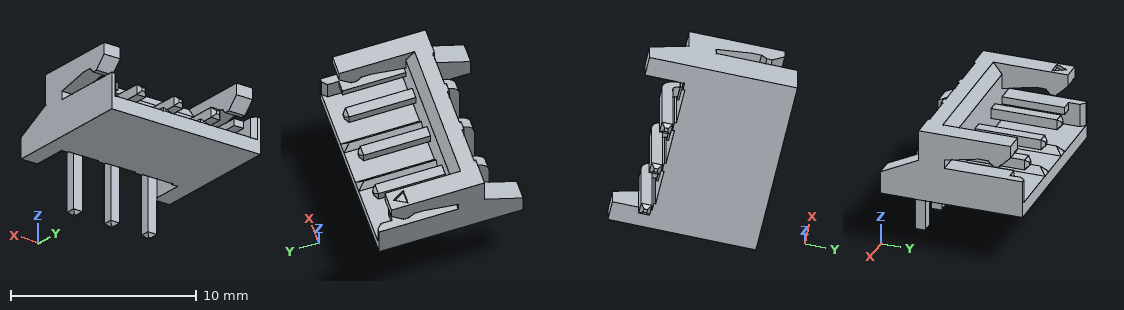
import cadquery as cq
import math

width = 10.0
depth = 8.2
height = 4.2
pin_count = 3
pitch = 2.5

mating_y = depth / 2
leg_y = -depth / 2
rear_y = mating_y - 6.0
inner_y = mating_y - 4.5
half_width = width / 2

arm_width = 1.1
arm_inner_x = half_width - arm_width
leg_top = 2.4
leg_end = 1.3
rim_top = 2.18
slot_end_top = 2.68
arm_y = mating_y - 0.7
hook_bottom = 2.8
hook_lead = 0.7
hook_flat = 0.3
hook_depth = 0.3
arm_flat_y = mating_y - 2.54

floor_top = 0.83
wall_thickness = 0.47
wall_lead = 0.26
rail_start_y = mating_y - 0.9
rail_bottom = 1.75
rear_lead = 0.5
rear_lead_bottom = 3.55

ridge_width = 0.58
ridge_height = 0.41
ridge_hip = 0.39

recess_width = 2.0
recess_depth = 0.1
pad_size = 0.8

pin_size = 0.6
pin_z = 2.0
pin_tip_y = mating_y - 0.5
tail_end = -3.2
tip_length = 0.2
bend_radius = 0.7

mark_side = 0.8
mark_depth = 0.2
mark_tip_y = mating_y - 1.0


def block(x_min, x_max, y_min, y_max, z_min, z_max):
    """Box given by its limits."""
    size = (x_max - x_min, y_max - y_min, z_max - z_min)
    return cq.Workplane("XY").box(*size, centered=False).translate((x_min, y_min, z_min))


def side_profile():
    """Side wall, latch arm and leg, extruded over the full width."""
    hook_front_y = arm_y - hook_lead
    hook_back_y = hook_front_y - hook_flat
    catch_y = hook_back_y - hook_depth
    catch_z = hook_bottom + hook_depth
    outline = [
        (leg_y, 0),
        (mating_y, 0),
        (mating_y, rim_top),
        (inner_y, rim_top),
        (inner_y, slot_end_top),
        (arm_flat_y, catch_z),
        (catch_y, catch_z),
        (hook_back_y, hook_bottom),
        (hook_front_y, hook_bottom),
        (arm_y, hook_bottom + hook_lead),
        (arm_y, height),
        (rear_y, height),
        (rear_y, leg_top),
        (leg_y, leg_end),
    ]
    return cq.Workplane("YZ").polyline(outline).close().extrude(half_width, both=True)


def cavity():
    """Space between the side walls, with the rails left standing below the arms."""
    wall_x = half_width - wall_thickness
    lead_y = mating_y - wall_lead
    outline = [
        (-wall_x, inner_y),
        (wall_x, inner_y),
        (wall_x, lead_y),
        (wall_x + wall_lead, mating_y),
        (-wall_x - wall_lead, mating_y),
        (-wall_x, lead_y),
    ]
    space = cq.Workplane("XY").workplane(offset=floor_top).polyline(outline).close()
    space = space.extrude(rim_top - floor_top)
    for rail_min, rail_max in ((-wall_x, -arm_inner_x), (arm_inner_x, wall_x)):
        space = space.cut(block(rail_min, rail_max, inner_y, rail_start_y, rail_bottom, rim_top))
    return space


def arm_gap():
    """Space between the two arms, with the bevel on the inside of the rear wall."""
    outline = [
        (mating_y, rim_top),
        (inner_y, rim_top),
        (inner_y, rear_lead_bottom),
        (inner_y - rear_lead, height),
        (mating_y, height),
    ]
    return cq.Workplane("YZ").polyline(outline).close().extrude(arm_inner_x, both=True)


def ridge(x):
    """Roof-shaped ridge on the floor with a sloped end at the mating side."""
    crest_z = floor_top + ridge_height
    section = [(x - ridge_width / 2, floor_top), (x + ridge_width / 2, floor_top), (x, crest_z)]
    body = cq.Workplane("XZ", origin=(0, mating_y, 0)).polyline(section).close().extrude(mating_y - inner_y)
    end = [(mating_y, floor_top), (mating_y, crest_z), (mating_y - ridge_hip, crest_z)]
    hip = cq.Workplane("YZ", origin=(x, 0, 0)).polyline(end).close().extrude(ridge_width, both=True)
    return body.cut(hip)


def rear_recess(x):
    """Shallow recess over the full height, less the pad around the pin."""
    y_max = rear_y + recess_depth
    recess = block(x - recess_width / 2, x + recess_width / 2, rear_y, y_max, 0, height)
    pad_z = pin_z - pad_size / 2
    pad = block(x - pad_size / 2, x + pad_size / 2, rear_y, y_max, pad_z, pad_z + pad_size)
    return recess.cut(pad)


def pin(x):
    """Square pin bent down behind the rear wall, tapered at both ends."""
    path = (
        cq.Workplane("YZ", origin=(x, 0, 0))
        .moveTo(pin_tip_y, pin_z)
        .lineTo(rear_y, pin_z)
        .radiusArc((rear_y - bend_radius, pin_z - bend_radius), -bend_radius)
        .lineTo(rear_y - bend_radius, tail_end)
    )
    bar = cq.Workplane("XZ", origin=(x, pin_tip_y, pin_z)).rect(pin_size, pin_size).sweep(path)
    return bar.faces(">Y or <Z").chamfer(tip_length)


def pin_one_mark():
    """Engraved triangle on the left arm, pointing to the mating side."""
    x = -half_width + arm_width / 2
    base_y = mark_tip_y - mark_side * math.sqrt(3) / 2
    corners = [(x - mark_side / 2, base_y), (x + mark_side / 2, base_y), (x, mark_tip_y)]
    return cq.Workplane("XY", origin=(0, 0, height)).polyline(corners).close().extrude(-mark_depth)


pin_xs = [(i - (pin_count - 1) / 2) * pitch for i in range(pin_count)]

housing = side_profile()
housing = housing.cut(block(-arm_inner_x, arm_inner_x, leg_y, rear_y, 0, leg_top))
housing = housing.cut(cavity())
housing = housing.cut(arm_gap())
for x in pin_xs[:-1]:
    housing = housing.union(ridge(x + pitch / 2))
for x in pin_xs:
    housing = housing.cut(rear_recess(x))
    housing = housing.union(pin(x))
result = housing.cut(pin_one_mark())